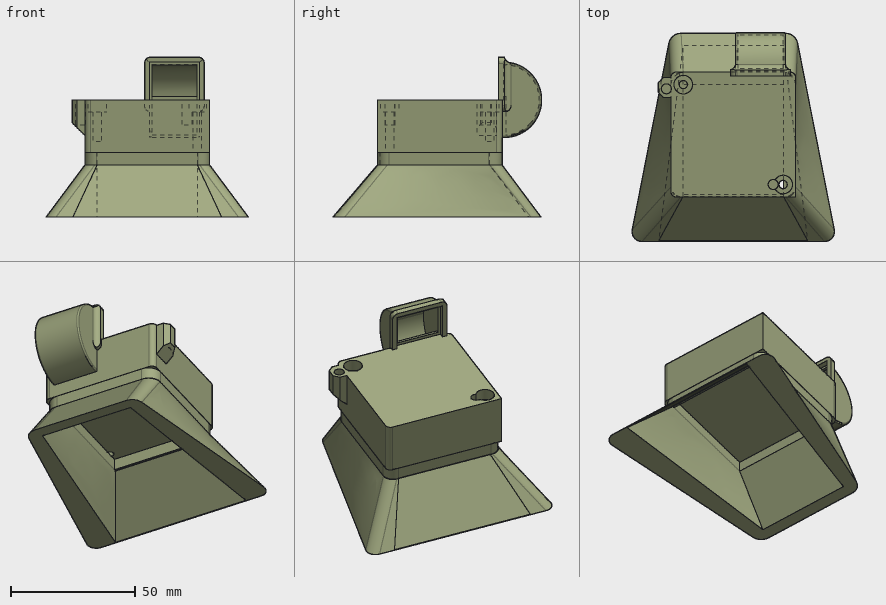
import cadquery as cq
import math

HALF_WIDTH = 25.1
BLOCK_TOP = 47.1
BLOCK_BOTTOM = 26.0
BLOCK_HEIGHT = BLOCK_TOP - BLOCK_BOTTOM
BLOCK_CORNER_RADIUS = 2.3

SKIRT_TOP = 20.9
NECK_FRONT_RADIUS = 4.7
NECK_BACK_RADIUS = 5.6
SKIRT_FRONT_Y = -43.0
SKIRT_BACK_Y = 40.7
SKIRT_FRONT_HALF_WIDTH = 41.5
SKIRT_FRONT_RADIUS = 4.0
SKIRT_BACK_RADIUS = 5.0

CAVITY_TOP_HALF_WIDTH = 20.1
CAVITY_BOTTOM_HALF_WIDTH = 29.9
NECK_FRONT_WALL = 1.0
SKIRT_TOP_FRONT_WALL = 0.25
SKIRT_BOTTOM_FRONT_WALL = 0.4
BACK_WALL = 5.0

SCREW_OFFSET = 20.05
SCREW_DIAMETER = 3.3
SCREW_HEAD_DIAMETER = 7.5
SCREW_HEAD_DEPTH = 4.95
BLIND_SCREW_DEPTH = 16.8

PIN_HOLE_DIAMETER = 4.0
PIN_HOLE_DEPTH = 10.1
FRONT_PIN_X = SCREW_OFFSET - PIN_HOLE_DIAMETER
TAB_PIN_X = -26.85
TAB_PIN_Y = 18.4

TAB_OUTER_X = -30.2
TAB_FRONT_Y = 14.9
TAB_BACK_Y = 22.8
TAB_CHAMFER = 2.1
TAB_SIDE_HEIGHT = 9.15

FRAME_CENTRE_X = 10.9
FRAME_WIDTH = 24.0
FRAME_TOP = 64.3
FRAME_BOTTOM = 42.3
FRAME_FRONT_Y = 23.5
FRAME_BACK_Y = 25.9
FRAME_CORNER_RADIUS = 2.5
FRAME_BORDER = 2.0

DRUM_WIDTH = FRAME_WIDTH - 2 * FRAME_BORDER
DRUM_TOP = FRAME_TOP - FRAME_BORDER
DRUM_RADIUS = DRUM_TOP - BLOCK_TOP
DRUM_BACK_Y = 40.95
DRUM_AXIS_Y = DRUM_BACK_Y - DRUM_RADIUS
DRUM_EDGE_RADIUS = 0.6
DRUM_WALL = 1.0
WINDOW_LEDGE = 1.3
RECESS_DEPTH = 2.0
COVE_DEPTH = 2.7
COVE_END_RADIUS = 2.5


def box(x_range, y_range, z_range):
    """Box between two limits along each axis."""
    size = [limits[1] - limits[0] for limits in (x_range, y_range, z_range)]
    corner = (x_range[0], y_range[0], z_range[0])
    return cq.Workplane("XY").box(*size, centered=False).translate(corner)


def hood_cavity():
    """Space inside the hood, open at the bottom and at the top of the neck."""
    top_front = -HALF_WIDTH + SKIRT_TOP_FRONT_WALL
    top_back = HALF_WIDTH - BACK_WALL
    bottom_front = SKIRT_FRONT_Y + SKIRT_BOTTOM_FRONT_WALL
    bottom_back = SKIRT_BACK_Y - BACK_WALL
    bottom = [
        (-CAVITY_BOTTOM_HALF_WIDTH, bottom_front),
        (CAVITY_BOTTOM_HALF_WIDTH, bottom_front),
        (CAVITY_TOP_HALF_WIDTH, bottom_back),
        (-CAVITY_TOP_HALF_WIDTH, bottom_back),
    ]
    top = [
        (-CAVITY_TOP_HALF_WIDTH, top_front),
        (CAVITY_TOP_HALF_WIDTH, top_front),
        (CAVITY_TOP_HALF_WIDTH, top_back),
        (-CAVITY_TOP_HALF_WIDTH, top_back),
    ]
    flare = (
        cq.Workplane("XY").polyline(bottom).close()
        .workplane(offset=SKIRT_TOP).polyline(top).close()
        .loft(ruled=True)
    )
    throat = box(
        (-CAVITY_TOP_HALF_WIDTH, CAVITY_TOP_HALF_WIDTH),
        (-HALF_WIDTH + NECK_FRONT_WALL, top_back),
        (SKIRT_TOP, BLOCK_BOTTOM),
    )
    return flare.union(throat)


def rounded_outline(corners, radii):
    """Closed wire through the corners, each rounded with its own radius."""
    points = [cq.Vector(x, y) for x, y in corners]
    stretches = []
    for i, (corner, radius) in enumerate(zip(points, radii)):
        to_last = (points[i - 1] - corner).normalized()
        to_next = (points[(i + 1) % len(points)] - corner).normalized()
        bisector = (to_last + to_next).normalized()
        half_angle = bisector.getAngle(to_next)
        setback = radius / math.tan(half_angle)
        nearest = radius / math.sin(half_angle) - radius
        arc_start = corner + to_last * setback
        arc_middle = corner + bisector * nearest
        arc_end = corner + to_next * setback
        stretches.append((arc_start, arc_middle, arc_end))
    outline = cq.Workplane("XY").moveTo(*stretches[-1][2].toTuple()[:2])
    for start, middle, end in stretches:
        outline = outline.lineTo(*start.toTuple()[:2])
        outline = outline.threePointArc(middle.toTuple()[:2], end.toTuple()[:2])
    return outline.wire().val()


def make_hood():
    """Neck and flared skirt."""
    square = [
        (-HALF_WIDTH, -HALF_WIDTH),
        (HALF_WIDTH, -HALF_WIDTH),
        (HALF_WIDTH, HALF_WIDTH),
        (-HALF_WIDTH, HALF_WIDTH),
    ]
    trapezoid = [
        (-SKIRT_FRONT_HALF_WIDTH, SKIRT_FRONT_Y),
        (SKIRT_FRONT_HALF_WIDTH, SKIRT_FRONT_Y),
        (HALF_WIDTH, SKIRT_BACK_Y),
        (-HALF_WIDTH, SKIRT_BACK_Y),
    ]
    skirt_radii = [SKIRT_FRONT_RADIUS] * 2 + [SKIRT_BACK_RADIUS] * 2
    neck_radii = [NECK_FRONT_RADIUS] * 2 + [NECK_BACK_RADIUS] * 2
    rise = cq.Vector(0, 0, SKIRT_TOP)
    skirt_bottom = rounded_outline(trapezoid, skirt_radii)
    skirt_top = rounded_outline(square, skirt_radii).translate(rise)
    neck_bottom = rounded_outline(square, neck_radii).translate(rise)
    skirt = cq.Workplane(cq.Solid.makeLoft([skirt_bottom, skirt_top], True))
    neck = cq.Workplane(cq.Solid.extrudeLinear(neck_bottom, [], cq.Vector(0, 0, BLOCK_BOTTOM - SKIRT_TOP)))
    return skirt.union(neck).cut(hood_cavity())


def make_tab():
    """Tab on the -X side of the block."""
    width = TAB_BACK_Y - TAB_FRONT_Y
    reach = -HALF_WIDTH - TAB_OUTER_X
    tab = box((TAB_OUTER_X, -HALF_WIDTH), (TAB_FRONT_Y, TAB_BACK_Y), (BLOCK_BOTTOM, BLOCK_TOP))
    tab = tab.edges("|Z and <X").chamfer(TAB_CHAMFER)
    outer_bottom = BLOCK_TOP - TAB_SIDE_HEIGHT
    profile = [
        (TAB_OUTER_X, BLOCK_TOP),
        (TAB_OUTER_X, outer_bottom),
        (-HALF_WIDTH, outer_bottom - reach),
        (-HALF_WIDTH, BLOCK_TOP),
    ]
    side = cq.Workplane("XZ", origin=(0, TAB_BACK_Y, 0)).polyline(profile).close().extrude(width)
    return tab.intersect(side)


def frame_prism(front_y, back_y):
    """Rounded rectangle of the frame, between two Y positions."""
    return (
        box(
            (FRAME_CENTRE_X - FRAME_WIDTH / 2, FRAME_CENTRE_X + FRAME_WIDTH / 2),
            (front_y, back_y),
            (FRAME_BOTTOM, FRAME_TOP),
        )
        .edges("|Y")
        .fillet(FRAME_CORNER_RADIUS)
    )


def cylinder_along_x(radius, width):
    """Cylinder on the drum axis, centred on the frame."""
    start = (FRAME_CENTRE_X - width / 2, DRUM_AXIS_Y, BLOCK_TOP)
    return cq.Workplane("YZ", origin=start).circle(radius).extrude(width)


def make_coves():
    """Concave transition from the back of the frame to the sides and top of the drum."""
    back = FRAME_BACK_Y + COVE_DEPTH
    half_spacing = DRUM_WIDTH / 2 + COVE_DEPTH
    hollow_bottom = FRAME_BOTTOM - COVE_DEPTH
    axis_distance = DRUM_RADIUS + COVE_DEPTH
    hollow_top = BLOCK_TOP + math.sqrt(axis_distance**2 - (back - DRUM_AXIS_Y) ** 2)
    tangent_y = DRUM_AXIS_Y + (back - DRUM_AXIS_Y) * DRUM_RADIUS / axis_distance
    hollow_left = FRAME_CENTRE_X - half_spacing
    rounded_end = (
        box((hollow_left, hollow_left + 2 * half_spacing), (FRAME_BACK_Y, back), (FRAME_BOTTOM, FRAME_TOP))
        .edges("|X and >Y and <Z")
        .fillet(COVE_END_RADIUS)
    )
    coves = frame_prism(FRAME_BACK_Y, back).intersect(rounded_end)
    for side in (-1, 1):
        side_hollow = (
            cq.Workplane("XY", origin=(FRAME_CENTRE_X + side * half_spacing, back, hollow_bottom))
            .circle(COVE_DEPTH)
            .extrude(hollow_top - hollow_bottom)
        )
        coves = coves.cut(side_hollow)
    top_hollow = (
        cq.Workplane("YZ", origin=(hollow_left, back, hollow_top))
        .circle(COVE_DEPTH)
        .extrude(2 * half_spacing)
    )
    half_drum = DRUM_WIDTH / 2
    behind_tangent = box(
        (FRAME_CENTRE_X - half_drum, FRAME_CENTRE_X + half_drum), (tangent_y, back), (FRAME_BOTTOM, FRAME_TOP)
    )
    return coves.cut(top_hollow).cut(behind_tangent)


def make_drum():
    """Frame and drum, before the window is cut."""
    drum = cylinder_along_x(DRUM_RADIUS, DRUM_WIDTH).edges().fillet(DRUM_EDGE_RADIUS)
    behind_frame = box(
        (-HALF_WIDTH, HALF_WIDTH), (HALF_WIDTH, DRUM_BACK_Y), (BLOCK_BOTTOM, FRAME_TOP)
    )
    return frame_prism(FRAME_FRONT_Y, FRAME_BACK_Y).union(drum.intersect(behind_frame)).union(make_coves())


def make_window():
    """Recess through the frame and the hollow of the drum behind it."""
    half_drum = DRUM_WIDTH / 2
    recess = box(
        (FRAME_CENTRE_X - half_drum, FRAME_CENTRE_X + half_drum),
        (FRAME_FRONT_Y, FRAME_FRONT_Y + RECESS_DEPTH),
        (BLOCK_TOP, DRUM_TOP),
    )
    half_window = half_drum - DRUM_WALL
    opening = box(
        (FRAME_CENTRE_X - half_window, FRAME_CENTRE_X + half_window),
        (FRAME_FRONT_Y, DRUM_BACK_Y),
        (BLOCK_TOP + WINDOW_LEDGE, DRUM_TOP - WINDOW_LEDGE),
    )
    hollow = cylinder_along_x(DRUM_RADIUS - DRUM_WALL, 2 * half_window)
    behind_ledge = FRAME_FRONT_Y + RECESS_DEPTH + DRUM_WALL
    inside_drum = box((-HALF_WIDTH, HALF_WIDTH), (behind_ledge, DRUM_BACK_Y), (BLOCK_BOTTOM, FRAME_TOP))
    return recess.union(opening.intersect(hollow)).union(hollow.intersect(inside_drum))


def vertical_hole(x, y, diameter, depth):
    """Hole cut down from the top of the block."""
    return cq.Workplane("XY", origin=(x, y, BLOCK_TOP)).circle(diameter / 2).extrude(-depth)


def make_block():
    """Block with its tab, drum and holes."""
    sides = (-HALF_WIDTH, HALF_WIDTH)
    block = box(sides, sides, (BLOCK_BOTTOM, BLOCK_TOP))
    block = block.edges("|Z and (<X or >Y)").fillet(BLOCK_CORNER_RADIUS)
    block = block.union(make_tab()).union(make_drum()).cut(make_window())
    for x, y, depth in (
        (-SCREW_OFFSET, SCREW_OFFSET, BLIND_SCREW_DEPTH),
        (SCREW_OFFSET, -SCREW_OFFSET, BLOCK_HEIGHT),
    ):
        block = block.cut(vertical_hole(x, y, SCREW_DIAMETER, depth))
        block = block.cut(vertical_hole(x, y, SCREW_HEAD_DIAMETER, SCREW_HEAD_DEPTH))
    for x, y in ((FRONT_PIN_X, -SCREW_OFFSET), (TAB_PIN_X, TAB_PIN_Y)):
        block = block.cut(vertical_hole(x, y, PIN_HOLE_DIAMETER, PIN_HOLE_DEPTH))
    return block


hood = make_hood()
block = make_block()
result = cq.Compound.makeCompound([hood.val(), block.val()])